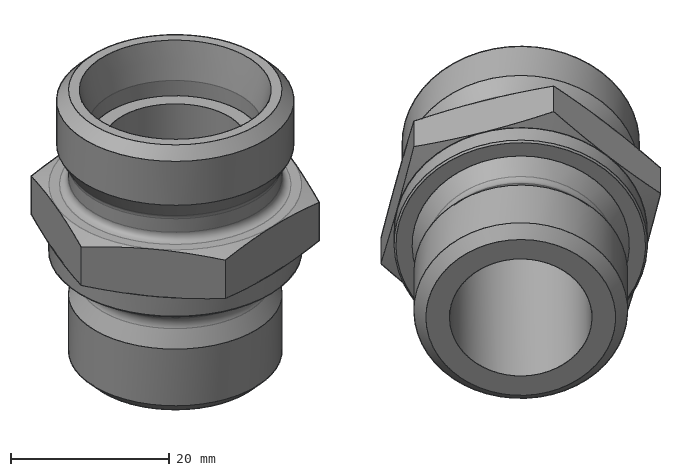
import cadquery as cq
import math

total_height = 40.0
collar_bottom = 16.0
hex_bottom = 19.0
hex_top = 26.0

hex_across_flats = 32.0
hex_chamfer_angle = 15.0
hex_face_radius = 15.95
collar_radius = hex_across_flats / 2
collar_chamfer = 0.25

upper_radius = 30.0 / 2
lower_radius = 27.0 / 2
end_chamfer = 1.5
flank_angle = math.radians(30)

undercut_radius = lower_radius
upper_flank_top = 32.0
undercut_fillet = 1.1

groove_radius = 12.0
groove_center_z = 12.9
groove_fillet = 1.5
collar_flank_radius = 13.7

bore_radius = 18.0 / 2
seat_radius = 22.0 / 2
seat_depth = 7.5
mouth_radius = 12.1
cone_angle = math.radians(12)


def make_body():
    """Revolve the outer profile of both ends and the collar."""
    groove_half_height = groove_fillet * math.sin(flank_angle)
    groove_edge_radius = groove_radius + groove_fillet * (1 - math.cos(flank_angle))
    groove_low_z = groove_center_z - groove_half_height
    groove_high_z = groove_center_z + groove_half_height
    lower_flank_z = groove_low_z - (lower_radius - groove_edge_radius) / math.tan(flank_angle)

    flank_corner_z = upper_flank_top - (upper_radius - undercut_radius) / math.tan(flank_angle)
    blend_low_z = flank_corner_z - undercut_fillet * math.tan(flank_angle / 2)
    blend_high_z = blend_low_z + undercut_fillet * math.sin(flank_angle)
    blend_high_radius = undercut_radius + undercut_fillet * (1 - math.cos(flank_angle))

    return (
        cq.Workplane("XZ")
        .moveTo(0, 0)
        .lineTo(lower_radius - end_chamfer, 0)
        .lineTo(lower_radius, end_chamfer)
        .lineTo(lower_radius, lower_flank_z)
        .lineTo(groove_edge_radius, groove_low_z)
        .threePointArc((groove_radius, groove_center_z), (groove_edge_radius, groove_high_z))
        .lineTo(collar_flank_radius, collar_bottom)
        .lineTo(collar_radius - collar_chamfer, collar_bottom)
        .lineTo(collar_radius, collar_bottom + collar_chamfer)
        .lineTo(collar_radius, hex_bottom)
        .lineTo(undercut_radius + undercut_fillet, hex_bottom)
        .lineTo(undercut_radius + undercut_fillet, hex_top)
        .radiusArc((undercut_radius, hex_top + undercut_fillet), undercut_fillet)
        .lineTo(undercut_radius, blend_low_z)
        .radiusArc((blend_high_radius, blend_high_z), undercut_fillet)
        .lineTo(upper_radius, upper_flank_top)
        .lineTo(upper_radius, total_height - end_chamfer)
        .lineTo(upper_radius - end_chamfer, total_height)
        .lineTo(0, total_height)
        .close()
        .revolve(360, (0, 0, 0), (0, 1, 0))
    )


def make_hexagon():
    """Hexagon with corners on the Y axis and conical chamfers on both faces."""
    corner_radius = hex_across_flats / math.sqrt(3)
    chamfer_drop = (corner_radius - hex_face_radius) * math.tan(math.radians(hex_chamfer_angle))
    prism = (
        cq.Workplane("XY")
        .workplane(offset=hex_bottom)
        .polygon(6, 2 * corner_radius)
        .extrude(hex_top - hex_bottom)
        .rotate((0, 0, 0), (0, 0, 1), 30)
    )
    chamfer_envelope = (
        cq.Workplane("XZ")
        .moveTo(0, hex_bottom)
        .lineTo(hex_face_radius, hex_bottom)
        .lineTo(corner_radius, hex_bottom + chamfer_drop)
        .lineTo(corner_radius, hex_top - chamfer_drop)
        .lineTo(hex_face_radius, hex_top)
        .lineTo(0, hex_top)
        .close()
        .revolve(360, (0, 0, 0), (0, 1, 0))
    )
    return prism.intersect(chamfer_envelope)


def make_bore():
    """Through bore that opens into the tube seat and the sealing cone."""
    cone_depth = (mouth_radius - seat_radius) / math.tan(cone_angle)
    return (
        cq.Workplane("XZ")
        .moveTo(0, 0)
        .lineTo(bore_radius, 0)
        .lineTo(bore_radius, total_height - seat_depth)
        .lineTo(seat_radius, total_height - seat_depth)
        .lineTo(seat_radius, total_height - cone_depth)
        .lineTo(mouth_radius, total_height)
        .lineTo(0, total_height)
        .close()
        .revolve(360, (0, 0, 0), (0, 1, 0))
    )


result = make_body().union(make_hexagon()).cut(make_bore())